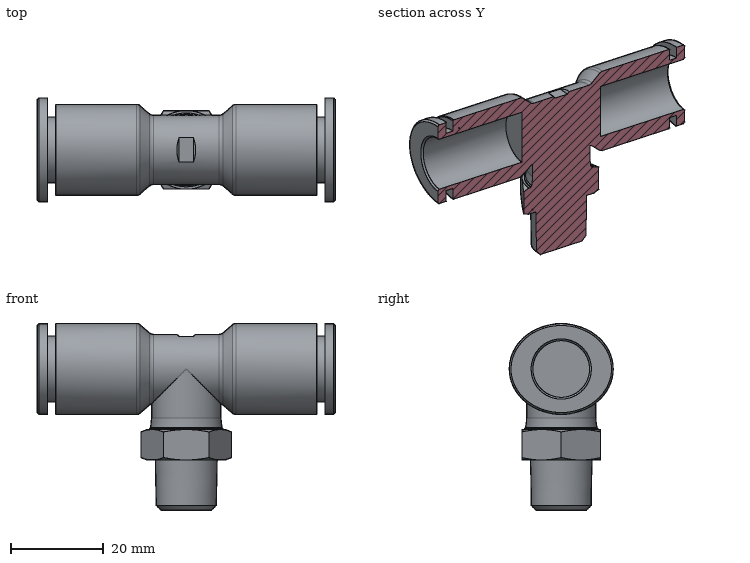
import cadquery as cq
import math


half_length = 32.2
collar_inner_x = 29.95
collar_width = 22.5
collar_height = 19.6
collar_chamfer = 0.4
sleeve_radius = 7.15
socket_end_x = 28.3
socket_radius = 9.85
socket_end_chamfer = 0.2
shoulder_outer_x = 10.3
shoulder_inner_x = 7.6
shoulder_outer_round = 1.0
shoulder_inner_round = 1.3
neck_diameter = 15.0
neck_radius = neck_diameter / 2

bore_radius = 6.1
bore_chamfer = 0.4
bore_floor_x = shoulder_outer_x

stem_bottom_z = -10.55
seat_radius = 7.7
seat_bottom_z = -12.6
seat_flare = 0.25
hex_top_z = -13.1
hex_bottom_z = -19.65
hex_across_flats = 17.0
hex_chamfer_height = 0.5
thread_top_radius = 6.7
thread_end_radius = 6.5
thread_tip_z = -30.5
tip_chamfer = 1.1

flat_z = 7.0
flat_half_width = 1.55


def cylinder_along_x(radius, start_x, length):
    return cq.Workplane("YZ").workplane(offset=start_x).circle(radius).extrude(length)


def round_tangent(angle, radius):
    """Tangent length of a round between a cylinder and the shoulder cone."""
    return radius * math.tan(angle / 2)


def make_run():
    """Neck, tapered shoulders and sockets, revolved about X; the +X half is mirrored."""
    angle = math.atan2(socket_radius - neck_radius, shoulder_outer_x - shoulder_inner_x)
    along_x = math.cos(angle)
    along_r = math.sin(angle)
    inner = round_tangent(angle, shoulder_inner_round)
    outer = round_tangent(angle, shoulder_outer_round)
    mid = angle / 2
    inner_mid = (
        shoulder_inner_x - inner + shoulder_inner_round * math.sin(mid),
        neck_radius + shoulder_inner_round * (1 - math.cos(mid)),
    )
    outer_mid = (
        shoulder_outer_x + outer - shoulder_outer_round * math.sin(mid),
        socket_radius - shoulder_outer_round * (1 - math.cos(mid)),
    )
    half = (
        cq.Workplane("XZ")
        .moveTo(0, 0)
        .lineTo(0, neck_radius)
        .lineTo(shoulder_inner_x - inner, neck_radius)
        .threePointArc(inner_mid, (shoulder_inner_x + inner * along_x, neck_radius + inner * along_r))
        .lineTo(shoulder_outer_x - outer * along_x, socket_radius - outer * along_r)
        .threePointArc(outer_mid, (shoulder_outer_x + outer, socket_radius))
        .lineTo(socket_end_x - socket_end_chamfer, socket_radius)
        .lineTo(socket_end_x, socket_radius - socket_end_chamfer)
        .lineTo(socket_end_x, 0)
        .close()
        .revolve(360, (0, 0, 0), (1, 0, 0))
    )
    return half.union(half.mirror("YZ"))


def make_release_sleeve():
    """Sleeve and oval collar at the +X end."""
    sleeve = cylinder_along_x(sleeve_radius, shoulder_outer_x, collar_inner_x - shoulder_outer_x)
    collar = (
        cq.Workplane("YZ")
        .workplane(offset=collar_inner_x)
        .ellipse(collar_width / 2, collar_height / 2)
        .extrude(half_length - collar_inner_x)
        .faces(">X")
        .chamfer(collar_chamfer)
    )
    return sleeve.union(collar)


def make_bore():
    """Blind tube bore at the +X end, with a chamfered mouth."""
    return (
        cq.Workplane("XZ")
        .moveTo(bore_floor_x, 0)
        .lineTo(bore_floor_x, bore_radius)
        .lineTo(half_length - bore_chamfer, bore_radius)
        .lineTo(half_length, bore_radius + bore_chamfer)
        .lineTo(half_length, 0)
        .close()
        .revolve(360, (0, 0, 0), (1, 0, 0))
    )


def make_branch():
    """Stem, seat and tapered thread blank, revolved about Z; it runs on inside the hexagon."""
    return (
        cq.Workplane("XZ")
        .moveTo(0, 0)
        .lineTo(neck_radius, 0)
        .lineTo(neck_radius, stem_bottom_z)
        .lineTo(seat_radius, seat_bottom_z)
        .lineTo(seat_radius + seat_flare, seat_bottom_z - seat_flare)
        .lineTo(seat_radius + seat_flare, hex_top_z)
        .lineTo(thread_top_radius, hex_bottom_z)
        .lineTo(thread_end_radius, thread_tip_z + tip_chamfer)
        .lineTo(thread_end_radius - tip_chamfer, thread_tip_z)
        .lineTo(0, thread_tip_z)
        .close()
        .revolve(360, (0, 0, 0), (0, 1, 0))
    )


def make_hex():
    """Hexagon with corners on the X axis and conically chamfered ends."""
    flat_radius = hex_across_flats / 2
    corner_radius = flat_radius / math.cos(math.pi / 6)
    prism = (
        cq.Workplane("XY")
        .workplane(offset=hex_bottom_z)
        .polygon(6, 2 * corner_radius)
        .extrude(hex_top_z - hex_bottom_z)
    )
    envelope = (
        cq.Workplane("XZ")
        .moveTo(0, hex_top_z)
        .lineTo(flat_radius, hex_top_z)
        .lineTo(corner_radius, hex_top_z - hex_chamfer_height)
        .lineTo(corner_radius, hex_bottom_z + hex_chamfer_height)
        .lineTo(flat_radius, hex_bottom_z)
        .lineTo(0, hex_bottom_z)
        .close()
        .revolve(360, (0, 0, 0), (0, 1, 0))
    )
    return prism.intersect(envelope)


def make_top_flat():
    """Cutter for the flat: a trough along Y that widens upwards."""
    depth = neck_radius - flat_z
    return (
        cq.Workplane("XZ")
        .moveTo(-flat_half_width, flat_z)
        .lineTo(flat_half_width, flat_z)
        .lineTo(flat_half_width + depth, neck_radius)
        .lineTo(-flat_half_width - depth, neck_radius)
        .close()
        .extrude(neck_radius, both=True)
    )


sleeve = make_release_sleeve()
bore = make_bore()
result = make_run().union(make_branch()).union(make_hex())
for end_sleeve, end_bore in ((sleeve, bore), (sleeve.mirror("YZ"), bore.mirror("YZ"))):
    result = result.union(end_sleeve).cut(end_bore)
result = result.cut(make_top_flat())